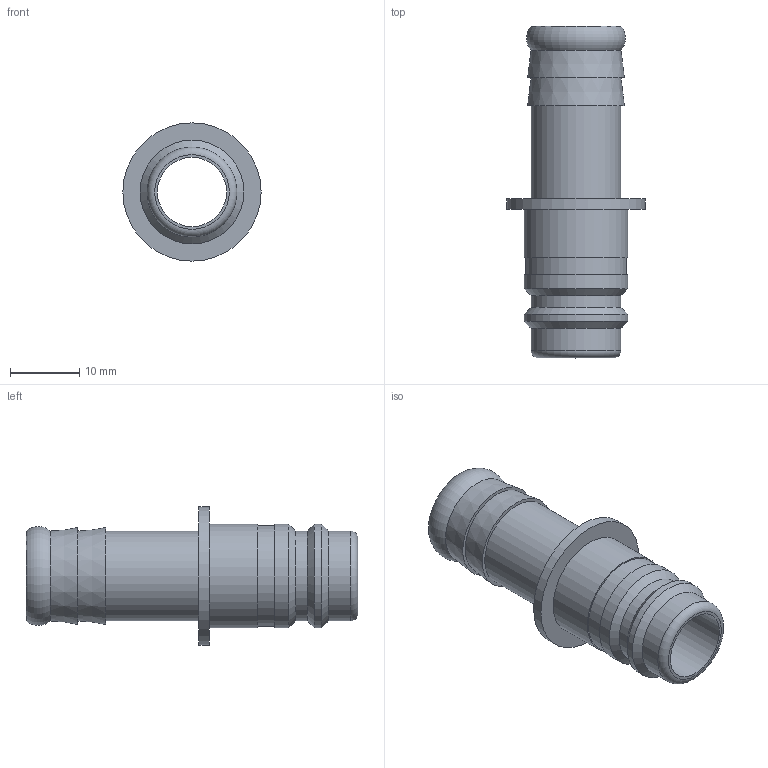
import cadquery as cq


bore_radius = 5.0
tube_radius = 6.5
body_radius = 7.5
shallow_groove_radius = 7.3
flange_radius = 10.0
barb_radius = 7.0
bead_radius = 7.15

total_length = 48.0
ring_start = 4.3
ring_land_width = 1.0
body_start = 9.0
shallow_groove_start = 12.0
shallow_groove_end = 14.5
flange_start = 21.5
flange_end = 23.0
bead_length = 3.5
barb_length = 4.0
barb_count = 2

nose_fillet = 1.1
bevel = body_radius - tube_radius


def cylinder(radius, start, end):
    """Solid cylinder on the Y axis between two stations."""
    length = end - start
    return cq.Workplane("XZ", origin=(0, start, 0)).circle(radius).extrude(-length)


def frustum(start_radius, end_radius, start, end):
    """Solid cone frustum on the Y axis between two stations."""
    profile = (
        cq.Workplane("XY")
        .moveTo(0, start)
        .lineTo(start_radius, start)
        .lineTo(end_radius, end)
        .lineTo(0, end)
        .close()
    )
    return profile.revolve(360, (0, 0, 0), (0, 1, 0))


def make_tube():
    """Plain tube running the full length up to the bead, rounded at the plug end."""
    return cylinder(tube_radius, 0, total_length - bead_length).faces("<Y").edges().fillet(nose_fillet)


def make_seal_ring():
    """Narrow ring beveled on both sides; it forms one wall of the seal groove."""
    ring_end = ring_start + ring_land_width + 2 * bevel
    return cylinder(body_radius, ring_start, ring_end).faces("<Y or >Y").edges().chamfer(bevel)


def make_body():
    """Thick body with a beveled front edge and a shallow groove around it."""
    front = cylinder(body_radius, body_start, shallow_groove_start).faces("<Y").edges().chamfer(bevel)
    groove = cylinder(shallow_groove_radius, shallow_groove_start, shallow_groove_end)
    rear = cylinder(body_radius, shallow_groove_end, flange_start)
    return front.union(groove).union(rear)


def make_flange():
    """Stop flange between the plug and the hose stem."""
    return cylinder(flange_radius, flange_start, flange_end)


def make_barb(end):
    """Hose barb that narrows to the tube radius toward the hose end."""
    return frustum(barb_radius, tube_radius, end - barb_length, end)


def make_bead():
    """Rounded bead at the hose end with an arc-shaped outer surface."""
    start = total_length - bead_length
    middle = total_length - bead_length / 2
    profile = (
        cq.Workplane("XY")
        .moveTo(0, start)
        .lineTo(tube_radius, start)
        .threePointArc((bead_radius, middle), (tube_radius, total_length))
        .lineTo(0, total_length)
        .close()
    )
    return profile.revolve(360, (0, 0, 0), (0, 1, 0))


connector = make_tube()
for feature in (make_seal_ring(), make_body(), make_flange(), make_bead()):
    connector = connector.union(feature)
for index in range(barb_count):
    barb_end = total_length - bead_length - index * barb_length
    connector = connector.union(make_barb(barb_end))

result = connector.cut(cylinder(bore_radius, 0, total_length))